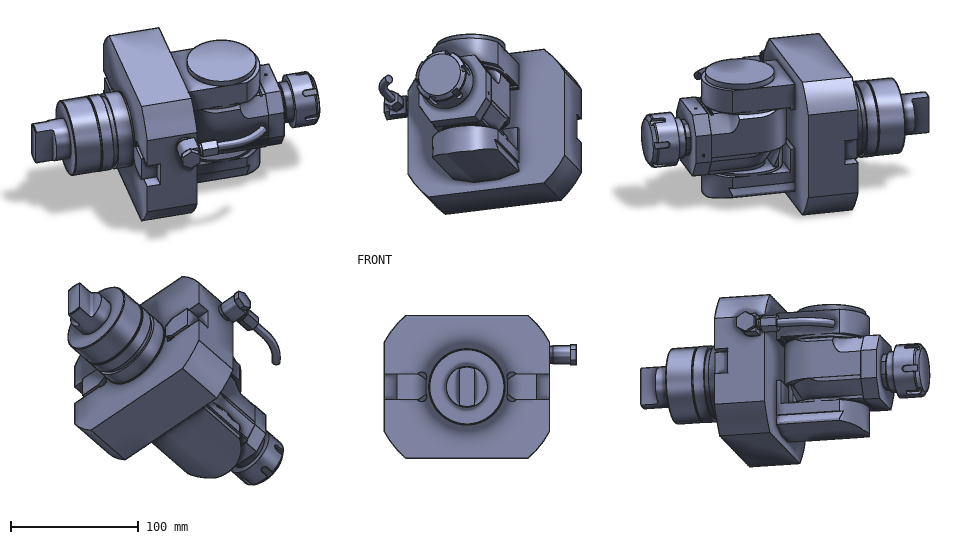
import cadquery as cq
import math


PLATE_WIDTH = 129.7
PLATE_HEIGHT = 112.0
PLATE_THICKNESS = 40.5
PLATE_CORNER_DIAMETER = 147.2

KEY_WIDTH = 20.0
KEY_INNER_X = 31.9
KEY_OUTER_X = 54.5
KEY_PROTRUSION = 2.0
KEY_SLOT_DEPTH = 10.7
KEY_CORNER_LENGTH = 6.4
KEY_CORNER_WIDTH = 4.0
RELIEF_DIAMETER = 8.2
RELIEF_X = 35.5
RELIEF_Z = 7.5

SHANK_STEPS = [
    (59.0, -1.4),
    (59.8, -13.7),
    (55.3, -17.5),
    (59.8, -26.5),
    (58.0, -27.5),
    (59.4, -48.5),
]
SHANK_END_Y = SHANK_STEPS[-1][1]
SHANK_CHAMFER = 0.7
TAIL_DIAMETER = 32.0
TANG_START_Y = -60.0
TANG_END_Y = -74.5
TANG_THICKNESS = 11.5
TANG_FILLET = 2.0
TANG_CHAMFER = 0.7

PIVOT_Y = 78.0
ARM_WIDTH = 54.0
ARM_END_DIAMETER = 60.0
ARM_INNER_Z = 27.0
UPPER_ARM_TOP = 46.2
LOWER_ARM_BOTTOM = -48.5
PIVOT_CAP_TOP = 50.7
NOTCH_TOP = -36.2
NOTCH_BOTTOM = -42.3
NOTCH_DEPTH = 1.5
ARM_BEVEL_TOP = -44.0
ARM_BEVEL_WIDTH = 16.8
PAD_BACK_Y = 44.1
PAD_FRONT_Y = 104.0
COLLAR_HALF_WIDTH = 18.7
COLLAR_TOP_Y = 48.5
COLLAR_BOTTOM_Y = 55.5

FLANGE_WIDTH = 55.5
HEAD_WIDTH = 55.0
LOWER_HEAD_WIDTH = 54.5
HEAD_TOP = 25.0
HEAD_SHELF = -8.2
FLANGE_BACK_Y = 108.8
FLANGE_FRONT_Y = 121.5
FLANGE_HALF_HEIGHT = 25.7
FLAT_HALF_WIDTH = 18.2
SIDE_HALF_HEIGHT = 11.4
HEAD_BACK_Y = 41.2
HEAD_WALL_BOTTOM = -22.5
HEAD_INSET = 0.5
GROOVE_BACK_Y = 104.7
GROOVE_FRONT_Y = 106.3
GROOVE_DEPTH = 1.0
HEAD_CHAMFER_X = 3.9
HEAD_CHAMFER_Z = 3.5
RUNOUT_END_Y = 85.5
RUNOUT_RADIUS = 8.2
PORT_DIAMETER = 2.1
PORT_OFFSET = 5.5
PORT_Y = 115.4
PORT_DEPTH = 2.3

TOOL_END_Y = 153.1
NUT_DIAMETER = 41.9
NUT_BACK_Y = 132.9
NUT_FACE_DIAMETER = 34.5
NUT_RIM_DIAMETER = 41.0
NUT_CHAMFER_LENGTH = 2.5
NUT_RIM_LENGTH = 3.6
SHOULDER_DIAMETER = 32.0
SHOULDER_BACK_Y = 126.3
SPINDLE_DIAMETER = 28.7
UNDERCUT_DIAMETER = 27.3
NECK_END_Y = 125.1
SPINDLE_FLAT_WIDTH = 10.2
NUT_SLOT_COUNT = 6
NUT_SLOT_WIDTH = 5.0
NUT_SLOT_LENGTH = 12.7
NUT_SLOT_FLOOR_RADIUS = 18.5
NUT_SLOT_START_ANGLE = -20.0

ELBOW_Y = 30.3
ELBOW_Z = 25.0
ELBOW_DIAMETER = 14.5
ELBOW_NECK_DIAMETER = 13.7
ELBOW_NECK_END_X = 67.3
ELBOW_END_X = 81.2
PLUG_END_X = 85.8
PLUG_FLATS = 13.9
TUBE_X = 74.2
TUBE_NECK_DIAMETER = 8.2
TUBE_COLLAR_DIAMETER = 9.8
TUBE_COLLAR_Y = 39.4
TUBE_NUT_START_Y = 41.0
TUBE_NUT_END_Y = 53.7
TUBE_NUT_FLATS = 11.4
TUBE_DIAMETER = 6.4
TUBE_BEND_Y = 67.1
TUBE_TIP_X = 62.0
TUBE_TIP_Y = 94.7


def span_box(x0, x1, y0, y1, z0, z1):
    """Box between two opposite corners."""
    return cq.Workplane("XY").box(x1 - x0, y1 - y0, z1 - z0, centered=False).translate((x0, y0, z0))


def xz_plane(y, x=0.0, z=0.0):
    """Workplane at the given Y whose normal points to +Y, with local x along +Z and local y along +X."""
    return cq.Workplane(cq.Plane(origin=(x, y, z), xDir=(0, 0, 1), normal=(0, 1, 0)))


def rod_y(diameter, y0, y1, x=0.0, z=0.0):
    """Cylinder along Y."""
    return xz_plane(y0, x, z).circle(diameter / 2).extrude(y1 - y0)


def disc_z(diameter, y, z0, z1):
    """Cylinder along Z, centred on X = 0."""
    return cq.Workplane("XY", origin=(0, y, z0)).circle(diameter / 2).extrude(z1 - z0)


def mirrored_x(shape):
    """The shape together with its mirror image across X = 0."""
    return shape.union(shape.mirror("YZ"))


def base_plate():
    half_width = PLATE_WIDTH / 2
    half_height = PLATE_HEIGHT / 2
    plate = span_box(-half_width, half_width, 0, PLATE_THICKNESS, -half_height, half_height)
    return plate.intersect(rod_y(PLATE_CORNER_DIAMETER, 0, PLATE_THICKNESS))


def key_slots():
    half = KEY_WIDTH / 2
    slot = span_box(KEY_INNER_X, PLATE_WIDTH / 2, 0, KEY_SLOT_DEPTH, -half, half)
    for z in (-RELIEF_Z, RELIEF_Z):
        slot = slot.union(rod_y(RELIEF_DIAMETER, 0, KEY_SLOT_DEPTH, RELIEF_X, z))
    return mirrored_x(slot)


def keys():
    half = KEY_WIDTH / 2
    narrow = half - KEY_CORNER_WIDTH
    shoulder_x = KEY_INNER_X + KEY_CORNER_LENGTH
    outline = [
        (half, KEY_OUTER_X),
        (half, shoulder_x),
        (narrow, KEY_INNER_X),
        (-narrow, KEY_INNER_X),
        (-half, shoulder_x),
        (-half, KEY_OUTER_X),
    ]
    key = xz_plane(-KEY_PROTRUSION).polyline(outline).close().extrude(KEY_SLOT_DEPTH + KEY_PROTRUSION)
    return mirrored_x(key)


def shank():
    profile = cq.Workplane("XY").moveTo(0, 0)
    start_y = 0
    for diameter, end_y in SHANK_STEPS:
        profile = profile.lineTo(diameter / 2, start_y).lineTo(diameter / 2, end_y)
        start_y = end_y
    body = profile.lineTo(0, SHANK_END_Y).close().revolve(360, (0, 0, 0), (0, 1, 0))
    return body.faces("<Y").edges().chamfer(SHANK_CHAMFER)


def drive_tail():
    tail = rod_y(TAIL_DIAMETER, TANG_END_Y, SHANK_END_Y).faces("<Y").edges().chamfer(TANG_CHAMFER)
    radius = TAIL_DIAMETER / 2
    half = TANG_THICKNESS / 2
    side = span_box(half, TAIL_DIAMETER, TANG_END_Y, TANG_START_Y, -radius, radius)
    side = side.edges("<X and >Y").fillet(TANG_FILLET)
    return tail.cut(mirrored_x(side))


def arm_blank(z0, z1):
    """Arm with parallel sides and an end rounded about the pivot."""
    half = ARM_WIDTH / 2
    end_y = PIVOT_Y + ARM_END_DIAMETER / 2
    arm = span_box(-half, half, PLATE_THICKNESS, end_y, z0, z1)
    rounding = disc_z(ARM_END_DIAMETER, PIVOT_Y, z0, z1)
    straight = span_box(-half, half, PLATE_THICKNESS, PIVOT_Y, z0, z1)
    return arm.intersect(rounding.union(straight))


def upper_arm():
    return arm_blank(ARM_INNER_Z, UPPER_ARM_TOP).union(
        disc_z(ARM_WIDTH, PIVOT_Y, UPPER_ARM_TOP, PIVOT_CAP_TOP))


def lower_arm():
    half = ARM_WIDTH / 2
    end_y = PIVOT_Y + ARM_END_DIAMETER / 2
    notch = [(half, NOTCH_TOP), (half - NOTCH_DEPTH, NOTCH_TOP), (half, NOTCH_BOTTOM)]
    bevel = [(half, ARM_BEVEL_TOP), (half, LOWER_ARM_BOTTOM), (half - ARM_BEVEL_WIDTH, LOWER_ARM_BOTTOM)]
    arm = arm_blank(LOWER_ARM_BOTTOM, -ARM_INNER_Z)
    for outline in (notch, bevel):
        cutter = cq.Workplane("XZ", origin=(0, end_y, 0)).polyline(outline).close()
        arm = arm.cut(mirrored_x(cutter.extrude(end_y - PLATE_THICKNESS)))
    return arm


def slope_half_width(z):
    """Half width of the head at height z on its lower sloping sides, set in from the flange."""
    slope = (FLANGE_WIDTH / 2 - FLAT_HALF_WIDTH) / (FLANGE_HALF_HEIGHT - SIDE_HALF_HEIGHT)
    return FLANGE_WIDTH / 2 - HEAD_INSET + slope * (z + SIDE_HALF_HEIGHT)


def lower_head():
    """Lower part of the head: sloping sides that turn into a cone about the pivot at the back."""
    half = LOWER_HEAD_WIDTH / 2
    top = slope_half_width(HEAD_SHELF)
    bottom = slope_half_width(HEAD_WALL_BOTTOM)
    section = [
        (0, HEAD_SHELF),
        (top, HEAD_SHELF),
        (bottom, HEAD_WALL_BOTTOM),
        (bottom, -HEAD_TOP),
        (0, -HEAD_TOP),
    ]
    cone = cq.Workplane("XZ").polyline(section).close().revolve(360, (0, 0, 0), (0, 1, 0))
    cone = cone.translate((0, PIVOT_Y, 0))
    front = cq.Workplane("XZ", origin=(0, FLANGE_BACK_Y, 0)).polyline(section).close()
    front = mirrored_x(front.extrude(FLANGE_BACK_Y - PIVOT_Y))
    limits = span_box(-half, half, HEAD_BACK_Y, FLANGE_BACK_Y, -HEAD_TOP, HEAD_SHELF)
    return cone.union(front).intersect(limits)


def pads():
    """Thin pads on the inner arm faces, with a slanted collar behind the head cone."""
    pad = (
        cq.Workplane("XY", origin=(0, (PAD_BACK_Y + PAD_FRONT_Y) / 2, -ARM_INNER_Z))
        .slot2D(PAD_FRONT_Y - PAD_BACK_Y, ARM_WIDTH, 90)
        .extrude(2 * ARM_INNER_Z)
    )
    half = ARM_WIDTH / 2
    upper = pad.intersect(span_box(-half, half, 0, PAD_FRONT_Y, HEAD_TOP, ARM_INNER_Z))
    lower = pad.intersect(span_box(-half, half, 0, PAD_FRONT_Y, -ARM_INNER_Z, -HEAD_TOP))
    side = [
        (PAD_BACK_Y, HEAD_SHELF),
        (COLLAR_TOP_Y, HEAD_SHELF),
        (COLLAR_BOTTOM_Y, -HEAD_TOP),
        (PAD_BACK_Y, -HEAD_TOP),
    ]
    collar = cq.Workplane("YZ").polyline(side).close().extrude(COLLAR_HALF_WIDTH, both=True).intersect(pad)
    return upper.union(lower).union(collar)


def web():
    """Thickened arm roots along the plate, open where the rounded back of the head fits in."""
    half = ARM_WIDTH / 2
    lower = span_box(-half, half, PLATE_THICKNESS, PAD_BACK_Y, -ARM_INNER_Z, HEAD_SHELF)
    upper = span_box(-half, half, PLATE_THICKNESS, PAD_BACK_Y, HEAD_TOP, ARM_INNER_Z)
    return lower.union(upper)


def octagon_bar(y0, y1):
    """Bar along Y with the eight-sided section of the flange."""
    half = FLANGE_WIDTH / 2
    quarter = [(FLANGE_HALF_HEIGHT, FLAT_HALF_WIDTH), (SIDE_HALF_HEIGHT, half)]
    outline = quarter + [(-z, x) for z, x in reversed(quarter)]
    outline += [(-z, -x) for z, x in quarter] + [(z, -x) for z, x in reversed(quarter)]
    return xz_plane(y0).polyline(outline).close().extrude(y1 - y0)


def upper_head():
    """Upper part of the head: rounded back, chamfered top edges and sloping front corners."""
    half = HEAD_WIDTH / 2
    block = span_box(-half, half, HEAD_BACK_Y + half, FLANGE_BACK_Y, HEAD_SHELF, HEAD_TOP)
    block = block.union(disc_z(HEAD_WIDTH, HEAD_BACK_Y + half, HEAD_SHELF, HEAD_TOP))

    chamfer = [(HEAD_TOP, half), (HEAD_TOP, half - HEAD_CHAMFER_X), (HEAD_TOP - HEAD_CHAMFER_Z, half)]
    edge_cut = xz_plane(HEAD_BACK_Y).polyline(chamfer).close().extrude(FLANGE_BACK_Y - HEAD_BACK_Y)
    block = block.cut(mirrored_x(edge_cut))

    slope_rise = FLANGE_HALF_HEIGHT - SIDE_HALF_HEIGHT
    slope_run = FLANGE_WIDTH / 2 - FLAT_HALF_WIDTH
    slope_angle = math.degrees(math.atan2(slope_rise, slope_run))
    corner_cut = span_box(-half, half, RUNOUT_END_Y, FLANGE_BACK_Y, 0, half)
    corner_cut = corner_cut.edges("<Y and <Z").fillet(RUNOUT_RADIUS)
    corner_cut = corner_cut.rotate((0, 0, 0), (0, 1, 0), slope_angle)
    corner_cut = corner_cut.translate((FLANGE_WIDTH / 2 - HEAD_INSET, 0, SIDE_HALF_HEIGHT))
    groove = span_box(-half, half, GROOVE_BACK_Y, GROOVE_FRONT_Y, HEAD_TOP - GROOVE_DEPTH, HEAD_TOP)
    return block.cut(mirrored_x(corner_cut)).cut(groove)


def head():
    flange = octagon_bar(FLANGE_BACK_Y, FLANGE_FRONT_Y)
    top_port = disc_z(PORT_DIAMETER, PORT_Y, FLANGE_HALF_HEIGHT - PORT_DEPTH, FLANGE_HALF_HEIGHT)
    top_port = top_port.translate((-PORT_OFFSET, 0, 0))
    side_port = cq.Workplane("YZ", origin=(-FLANGE_WIDTH / 2, PORT_Y, -PORT_OFFSET))
    side_port = side_port.circle(PORT_DIAMETER / 2).extrude(PORT_DEPTH)
    return upper_head().union(lower_head()).union(flange.cut(top_port).cut(side_port))


def spindle():
    radius = SPINDLE_DIAMETER / 2
    flat_distance = math.sqrt(radius ** 2 - (SPINDLE_FLAT_WIDTH / 2) ** 2)
    flats = xz_plane(FLANGE_FRONT_Y).rect(2 * flat_distance, 2 * flat_distance)
    neck = rod_y(SPINDLE_DIAMETER, FLANGE_FRONT_Y, NECK_END_Y)
    neck = neck.intersect(flats.extrude(NECK_END_Y - FLANGE_FRONT_Y))
    neck = neck.union(rod_y(UNDERCUT_DIAMETER, NECK_END_Y, SHOULDER_BACK_Y))
    return neck.union(rod_y(SHOULDER_DIAMETER, SHOULDER_BACK_Y, NUT_BACK_Y))


def clamping_nut():
    profile = [
        (0, NUT_BACK_Y),
        (NUT_DIAMETER / 2, NUT_BACK_Y),
        (NUT_DIAMETER / 2, TOOL_END_Y - NUT_RIM_LENGTH),
        (NUT_RIM_DIAMETER / 2, TOOL_END_Y - NUT_CHAMFER_LENGTH),
        (NUT_FACE_DIAMETER / 2, TOOL_END_Y),
        (0, TOOL_END_Y),
    ]
    nut = cq.Workplane("XY").polyline(profile).close().revolve(360, (0, 0, 0), (0, 1, 0))

    radius = NUT_SLOT_WIDTH / 2
    slot_center_y = TOOL_END_Y - NUT_SLOT_LENGTH + radius
    slot = span_box(-radius, radius, slot_center_y, TOOL_END_Y, NUT_SLOT_FLOOR_RADIUS, NUT_DIAMETER)
    slot = slot.union(disc_z(NUT_SLOT_WIDTH, slot_center_y, NUT_SLOT_FLOOR_RADIUS, NUT_DIAMETER))
    for index in range(NUT_SLOT_COUNT):
        angle = NUT_SLOT_START_ANGLE + index * 360 / NUT_SLOT_COUNT
        nut = nut.cut(slot.rotate((0, 0, 0), (0, 1, 0), angle))
    return nut


def hexagon(workplane, flats, length):
    """Hexagonal prism with two corners on the local x axis of the workplane."""
    return workplane.polygon(6, flats / math.cos(math.radians(30))).extrude(length)


def rod_x(diameter, x0, x1):
    """Cylinder along X on the elbow axis."""
    return cq.Workplane("YZ", origin=(x0, ELBOW_Y, ELBOW_Z)).circle(diameter / 2).extrude(x1 - x0)


def coolant_elbow():
    radius = ELBOW_DIAMETER / 2
    back_y = ELBOW_Y + radius
    neck = rod_x(ELBOW_NECK_DIAMETER, PLATE_WIDTH / 2, ELBOW_NECK_END_X)
    body = rod_x(ELBOW_DIAMETER, ELBOW_NECK_END_X, ELBOW_END_X)
    square_back = span_box(ELBOW_NECK_END_X, ELBOW_END_X, ELBOW_Y, back_y, ELBOW_Z - radius, ELBOW_Z + radius)
    plug_plane = cq.Workplane(cq.Plane((ELBOW_END_X, ELBOW_Y, ELBOW_Z), (0, 0, 1), (1, 0, 0)))
    plug = hexagon(plug_plane, PLUG_FLATS, PLUG_END_X - ELBOW_END_X)

    tube_neck = rod_y(TUBE_NECK_DIAMETER, back_y, TUBE_COLLAR_Y, TUBE_X, ELBOW_Z)
    tube_collar = rod_y(TUBE_COLLAR_DIAMETER, TUBE_COLLAR_Y, TUBE_NUT_START_Y, TUBE_X, ELBOW_Z)
    nut_plane = xz_plane(TUBE_NUT_START_Y, TUBE_X, ELBOW_Z)
    tube_nut = hexagon(nut_plane, TUBE_NUT_FLATS, TUBE_NUT_END_Y - TUBE_NUT_START_Y)
    return neck.union(body).union(square_back).union(plug).union(tube_neck).union(tube_collar).union(tube_nut)


def coolant_tube():
    path = (
        cq.Workplane("XY", origin=(0, 0, ELBOW_Z))
        .moveTo(TUBE_X, TUBE_NUT_END_Y)
        .lineTo(TUBE_X, TUBE_BEND_Y)
        .tangentArcPoint((TUBE_TIP_X, TUBE_TIP_Y), relative=False)
    )
    return xz_plane(TUBE_NUT_END_Y, TUBE_X, ELBOW_Z).circle(TUBE_DIAMETER / 2).sweep(path)


result = base_plate().cut(key_slots()).union(keys())
for feature in (shank, drive_tail, web, upper_arm, lower_arm, pads, head, spindle, clamping_nut,
                coolant_elbow, coolant_tube):
    result = result.union(feature())